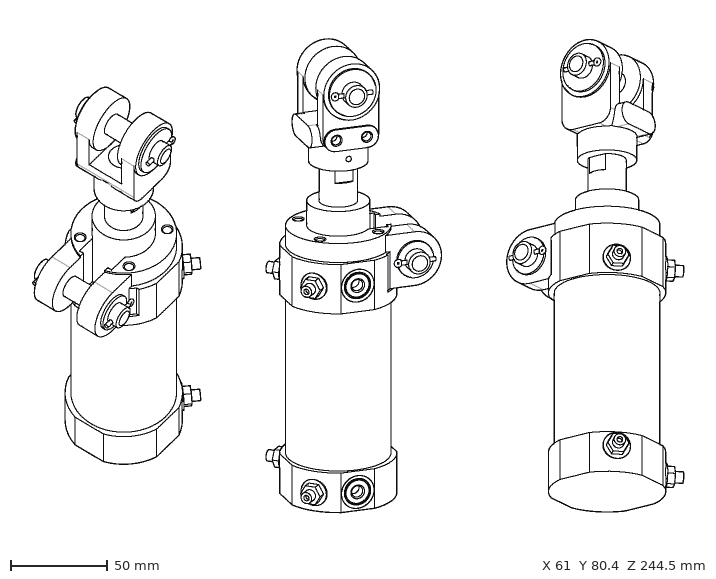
import cadquery as cq
import math

total_height = 244.5
cap_height = 22.0
flange_bottom = 110.3
recess_floor = 114.0
flange_top = 137.7
head_top = 148.2
boss_top = 161.9
wrench_flat_bottom = 175.0
collar_bottom = 183.9
fork_floor = 209.0

barrel_diameter = 55.0
flange_diameter = 61.1
flange_across_flats = 58.2
boss_diameter = 33.0
rod_diameter = 20.0
rod_thread_diameter = 16.0
wrench_across_flats = 17.4
side_notch_diameter = 58.5
side_notch_start_y = -18.3

lug_thickness = 12.0
lug_gap = 16.1
wide_gap = 21.3
lug_outer_x = lug_gap / 2 + lug_thickness
washer_thickness = 1.5

mount_diameter = 29.8
mount_y = -35.0
mount_z = 132.0
mount_washer_diameter = 20.0
wide_gap_end_y = -23.7

knuckle_diameter = 31.0
knuckle_radius = knuckle_diameter / 2
knuckle_z = total_height - knuckle_radius
knuckle_washer_diameter = 26.0
knuckle_block_width = 37.7
knuckle_edge_radius = 7.0
plate_length = 29.8
plate_height = 12.0
plate_bottom = fork_floor - plate_height
plate_z = fork_floor - plate_height / 2
rear_plate_thickness = 4.6
plate_hole_spacing = 16.9
locking_hole_diameter = 3.0
locking_hole_z = 190.2

pin_diameter = 12.0
pin_length = 55.5
pin_chamfer_length = 1.7
pin_chamfer_depth = 0.7
cotter_diameter = 2.3
cotter_x = 23.7
cotter_tip_y = -10.0
cotter_eye_y = 10.5
cotter_eye_radius = 1.35
cotter_wire_radius = 0.85

thread_diameter = 6.0
thread_core_diameter = 5.0
tapped_hole_depth = 6.0
head_hole_offset = 16.1

port_spotface_diameter = 18.0
port_spotface_depth = 0.2
port_groove_diameter = 14.5
port_groove_width = 0.7
port_groove_depth = 0.7
port_hole_diameter = 6.0
port_hole_depth = 6.0
port_point_depth = 2.2
port_chamfer = 0.7
head_port_z = 124.7
cap_port_z = 10.3

valve_angle = 45
valve_washer_diameter = 14.5
valve_washer_end = 30.8
valve_nut_across_corners = 11.2
valve_nut_end = 35.2
valve_stud_diameter = 6.0
valve_overall_width = 61.0
valve_stud_end = valve_overall_width / math.sqrt(2) - valve_stud_diameter / 2
valve_vent_diameter = 3.0
valve_vent_depth = 2.5
valve_seat = 24.5
left_valve_levels = [head_port_z, cap_port_z]
right_valve_levels = [118.8, 14.5]


def cylinder_z(diameter, bottom, top):
    return cq.Workplane("XY").workplane(offset=bottom).circle(diameter / 2).extrude(top - bottom)


def cylinder_x(diameter, x_start, x_end, y, z):
    return cq.Workplane("YZ", origin=(x_start, y, z)).circle(diameter / 2).extrude(x_end - x_start)


def block(x_range, y_range, z_range):
    """Axis-aligned box between the two ends given for each axis."""
    sizes = [end - start for start, end in (x_range, y_range, z_range)]
    corner = (x_range[0], y_range[0], z_range[0])
    return cq.Workplane("XY").box(*sizes, centered=False).translate(corner)


def tapped_hole(mouth, inward):
    """Cutter for a tapped hole whose mouth is countersunk to the thread diameter."""
    countersink = (thread_diameter - thread_core_diameter) / 2
    plane = cq.Plane(origin=mouth, normal=inward)
    hole = cq.Workplane(plane).circle(thread_core_diameter / 2).extrude(tapped_hole_depth)
    cone = cq.Workplane(plane).circle(thread_diameter / 2).extrude(countersink, taper=45)
    return hole.union(cone)


def lug_discs(diameter, inner_x, outer_x, y, z):
    """A pair of discs facing each other across the clevis gap."""
    right = cylinder_x(diameter, inner_x, outer_x, y, z)
    return right.union(right.mirror("YZ"))


def flange(bottom, top):
    """Round flange with four flats."""
    flats = cq.Workplane("XY").workplane(offset=bottom)
    flats = flats.rect(flange_across_flats, flange_across_flats).extrude(top - bottom)
    return cylinder_z(flange_diameter, bottom, top).intersect(flats)


def mount_lugs():
    """Two round-ended lugs reaching from the head towards -Y, with pin washers."""
    radius = mount_diameter / 2
    lugs = lug_discs(mount_diameter, lug_gap / 2, lug_outer_x, mount_y, mount_z)
    heights = (mount_z - radius, mount_z + radius)
    arm = block((lug_gap / 2, lug_outer_x), (mount_y, side_notch_start_y), heights)
    washer_end = lug_outer_x + washer_thickness
    washers = lug_discs(mount_washer_diameter, lug_outer_x, washer_end, mount_y, mount_z)
    return lugs.union(arm).union(arm.mirror("YZ")).union(washers)


def side_notches():
    """Cutter that thins the flange rim beside the lugs."""
    bottom = mount_z - mount_diameter / 2
    radius = flange_diameter / 2
    rim = cylinder_z(flange_diameter, bottom, flange_top)
    rim = rim.cut(cylinder_z(side_notch_diameter, bottom, flange_top))
    return rim.intersect(block((-radius, radius), (-radius, side_notch_start_y), (bottom, flange_top)))


def clevis_recess():
    """Cutter that opens the head between the lugs, down to the recess floor and back to the boss."""
    front_y = -flange_diameter / 2
    narrow = block((-lug_gap / 2, lug_gap / 2), (front_y, 0), (recess_floor, boss_top))
    wide = block((-wide_gap / 2, wide_gap / 2), (wide_gap_end_y, 0), (recess_floor, boss_top))
    return narrow.union(wide).cut(cylinder_z(boss_diameter, recess_floor, boss_top))


def port(z):
    """Cutter for an air port in the -X flat: spotface, ring groove and chamfered, pointed hole."""
    mouth = cq.Workplane("YZ", origin=(-flange_across_flats / 2, 0, z))
    groove_radius = port_groove_diameter / 2
    hole_radius = port_hole_diameter / 2
    spotface = mouth.circle(port_spotface_diameter / 2).extrude(port_spotface_depth)
    seat = mouth.workplane(offset=port_spotface_depth)
    groove = seat.circle(groove_radius).circle(groove_radius - port_groove_width).extrude(port_groove_depth)
    hole = seat.circle(hole_radius).extrude(port_hole_depth)
    chamfer = seat.circle(hole_radius + port_chamfer).extrude(port_chamfer, taper=45)
    tip_base = cq.Vector(port_spotface_depth + port_hole_depth - flange_across_flats / 2, 0, z)
    drill_point = cq.Solid.makeCone(hole_radius, 0, port_point_depth, tip_base, cq.Vector(1, 0, 0))
    return spotface.union(groove).union(hole).union(chamfer).union(cq.Workplane(drill_point))


def valve(angle, z):
    """Valve pointing away from the cylinder axis at an angle measured from +X."""
    axis = cq.Workplane("YZ", origin=(valve_seat, 0, z))
    washer = axis.circle(valve_washer_diameter / 2).extrude(valve_washer_end - valve_seat)
    nut = axis.polygon(6, valve_nut_across_corners).extrude(valve_nut_end - valve_seat)
    stud = axis.circle(valve_stud_diameter / 2).extrude(valve_stud_end - valve_seat)
    vent = cylinder_x(valve_vent_diameter, valve_stud_end - valve_vent_depth, valve_stud_end, 0, z)
    return washer.union(nut).union(stud).cut(vent).rotate((0, 0, 0), (0, 0, 1), angle)


def rod():
    """Piston rod above the boss: wrench flats below the knuckle, thread inside it."""
    flats = cq.Workplane("XY").workplane(offset=wrench_flat_bottom)
    flats = flats.rect(wrench_across_flats, rod_diameter).extrude(collar_bottom - wrench_flat_bottom)
    neck = cylinder_z(rod_diameter, wrench_flat_bottom, collar_bottom).intersect(flats)
    shaft = cylinder_z(rod_diameter, boss_top, wrench_flat_bottom)
    return shaft.union(neck).union(cylinder_z(rod_thread_diameter, collar_bottom, fork_floor))


def make_cylinder_body():
    body = flange(0, cap_height)
    body = body.union(cylinder_z(barrel_diameter, cap_height, head_top))
    body = body.union(flange(flange_bottom, flange_top))
    body = body.cut(side_notches())
    body = body.union(mount_lugs())
    body = body.cut(clevis_recess())
    body = body.union(cylinder_z(boss_diameter, recess_floor, boss_top))
    for z in left_valve_levels:
        body = body.union(valve(180 - valve_angle, z))
    for z in right_valve_levels:
        body = body.union(valve(valve_angle, z))
    for z in (head_port_z, cap_port_z):
        body = body.cut(port(z))
    for x in (-head_hole_offset, head_hole_offset):
        for y in (-head_hole_offset, head_hole_offset):
            body = body.cut(tapped_hole((x, y, head_top), (0, 0, -1)))
    bore_end = lug_outer_x + washer_thickness
    body = body.cut(cylinder_x(pin_diameter, -bore_end, bore_end, mount_y, mount_z))
    return body.union(rod())


def knuckle_block():
    """Block of the fork, rounded over the pin and along its two lower X edges."""
    half_width = knuckle_block_width / 2
    y_range = (-knuckle_radius, knuckle_radius)
    base = block((-half_width, half_width), y_range, (plate_bottom, knuckle_z))
    base = base.edges("|X and <Z").fillet(knuckle_edge_radius)
    return base.union(cylinder_x(knuckle_diameter, -half_width, half_width, 0, knuckle_z))


def knuckle_plates():
    """Round-ended pads, one on the -X face and one on the +Y face."""
    side = cq.Workplane("YZ", origin=(-lug_outer_x, 0, plate_z))
    side = side.slot2D(plate_length, plate_height).extrude(lug_outer_x)
    rear = cq.Workplane("XZ", origin=(0, knuckle_radius + rear_plate_thickness, plate_z))
    rear = rear.slot2D(plate_length, plate_height).extrude(knuckle_radius)
    return side.union(rear)


def make_knuckle():
    half_gap = wide_gap / 2
    washer_end = lug_outer_x + washer_thickness
    knuckle = knuckle_block()
    slot_depth = (-knuckle_radius, knuckle_radius)
    knuckle = knuckle.cut(block((-half_gap, half_gap), slot_depth, (fork_floor, total_height)))
    knuckle = knuckle.union(lug_discs(knuckle_diameter, lug_gap / 2, lug_outer_x, 0, knuckle_z))
    knuckle = knuckle.union(lug_discs(knuckle_washer_diameter, lug_outer_x, washer_end, 0, knuckle_z))
    knuckle = knuckle.union(cylinder_z(knuckle_diameter, collar_bottom, plate_z))
    knuckle = knuckle.union(knuckle_plates())
    knuckle = knuckle.cut(cylinder_z(rod_thread_diameter, collar_bottom, fork_floor))
    knuckle = knuckle.cut(cylinder_x(pin_diameter, -washer_end, washer_end, 0, knuckle_z))
    for y in (-plate_hole_spacing / 2, plate_hole_spacing / 2):
        knuckle = knuckle.cut(tapped_hole((-lug_outer_x, y, plate_z), (1, 0, 0)))
    locking_hole = cylinder_x(locking_hole_diameter, -knuckle_diameter, 0, 0, locking_hole_z)
    return knuckle.cut(locking_hole)


def make_clevis_pin(y, z):
    """Pin along X with chamfered ends and a cross hole near each end."""
    half_length = pin_length / 2
    pin = cylinder_x(pin_diameter, -half_length, half_length, y, z)
    pin = pin.faces("<X or >X").chamfer(pin_chamfer_depth, pin_chamfer_length)
    for x in (-cotter_x, cotter_x):
        start = cq.Workplane("XZ", origin=(x, y, z))
        pin = pin.cut(start.circle(cotter_diameter / 2).extrude(pin_diameter, both=True))
    return pin


def make_cotter(x, y, z):
    """Cotter pin along Y through a clevis pin, with its ring eye on the +Y side."""
    neck_y = cotter_eye_y - cotter_eye_radius
    shank = cq.Workplane("XZ", origin=(x, y + neck_y, z))
    shank = shank.circle(cotter_diameter / 2).extrude(neck_y - cotter_tip_y)
    eye_center = cq.Vector(x, y + cotter_eye_y, z)
    eye = cq.Solid.makeTorus(cotter_eye_radius, cotter_wire_radius, eye_center, cq.Vector(1, 0, 0))
    return shank.union(cq.Workplane(eye))


cylinder_body = make_cylinder_body()
knuckle = make_knuckle()
clevis_pins = []
cotters = []
for pin_y, pin_z in ((mount_y, mount_z), (0, knuckle_z)):
    clevis_pins.append(make_clevis_pin(pin_y, pin_z).val())
    for end_x in (-cotter_x, cotter_x):
        cotters.append(make_cotter(end_x, pin_y, pin_z).val())

result = cq.Compound.makeCompound([cylinder_body.val(), knuckle.val(), *clevis_pins, *cotters])